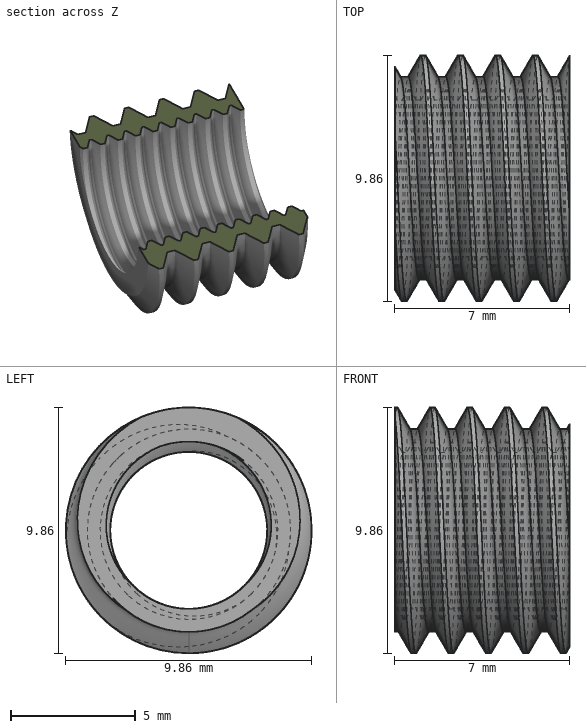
import cadquery as cq
import math

length = 7.0
flank_slope = math.tan(math.radians(30))

outer_crest_radius = 9.86 / 2
outer_root_radius = 8.14 / 2
outer_pitch = 1.5
outer_crest_width = outer_pitch / 8

inner_crest_radius = 6.28 / 2
inner_root_radius = 7.12 / 2
inner_pitch = outer_pitch / 2
inner_crest_width = inner_pitch / 4

sleeve_overlap = 0.2
wall_middle_radius = (outer_root_radius + inner_root_radius) / 2
outer_sleeve_bore_radius = wall_middle_radius - sleeve_overlap / 2
inner_sleeve_outside_radius = wall_middle_radius + sleeve_overlap / 2

spare_turns = 2


def thread_profile(crest_radius, root_radius, pitch, crest_width, crest_centre):
    """Radius and height of the corners of one thread pitch, from one crest to the next."""
    crest_start = crest_centre - crest_width / 2
    crest_end = crest_centre + crest_width / 2
    flank_run = abs(crest_radius - root_radius) * flank_slope
    return [
        (crest_radius, crest_start),
        (crest_radius, crest_end),
        (root_radius, crest_end + flank_run),
        (root_radius, crest_start + pitch - flank_run),
        (crest_radius, crest_start + pitch),
    ]


def raised(corner, rise):
    """The same section corner, moved up."""
    radius, height = corner
    return radius, height + rise


def helix_turn(corner, pitch):
    """One right-handed turn of helix about Z, starting at the +X side."""
    radius, height = corner
    turn = cq.Wire.makeHelix(pitch, pitch, radius)
    return turn.translate(cq.Vector(0, 0, height)).Edges()[0]


def ruled_turn(first_corner, second_corner, pitch):
    """Helical face, one turn long, between two corners of the section."""
    return cq.Face.makeRuledSurface(helix_turn(first_corner, pitch), helix_turn(second_corner, pitch))


def section_face(corners):
    """Flat face in the XZ plane through the corners of the section."""
    points = [cq.Vector(radius, 0, height) for radius, height in corners]
    return cq.Face.makeFromWires(cq.Wire.makePolygon(points, close=True))


def threaded_sleeve(crest_radius, root_radius, pitch, crest_width, crest_centre, smooth_radius):
    """Sleeve with a thread on one side and a smooth other side, trimmed to length."""
    thread = thread_profile(crest_radius, root_radius, pitch, crest_width, crest_centre)
    smooth = [(smooth_radius, height) for _, height in thread]
    turns = math.ceil(length / pitch) + 2 * spare_turns
    bottom = -spare_turns * pitch
    top = bottom + turns * pitch

    faces = []
    for turn in range(turns):
        rise = bottom + turn * pitch
        for profile in (thread, smooth):
            for lower, upper in zip(profile, profile[1:]):
                faces.append(ruled_turn(raised(lower, rise), raised(upper, rise), pitch))

    section = thread + smooth[::-1]
    for level in (bottom, top):
        faces.append(ruled_turn(raised(thread[0], level), raised(smooth[0], level), pitch))
        faces.append(section_face([raised(corner, level) for corner in section]))

    sleeve = cq.Workplane(cq.Solid.makeSolid(cq.Shell.makeShell(faces)).fix())
    trim_width = 3 * outer_crest_radius
    trim_block = cq.Workplane("XY").box(trim_width, trim_width, length, centered=(True, True, False))
    return sleeve.intersect(trim_block)


outer_sleeve = threaded_sleeve(
    outer_crest_radius,
    outer_root_radius,
    outer_pitch,
    outer_crest_width,
    outer_pitch / 2,
    outer_sleeve_bore_radius,
)
inner_sleeve = threaded_sleeve(
    inner_crest_radius,
    inner_root_radius,
    inner_pitch,
    inner_crest_width,
    0,
    inner_sleeve_outside_radius,
)
bushing = outer_sleeve.union(inner_sleeve)

result = bushing.rotate((0, 0, 0), (0, 1, 0), 90)